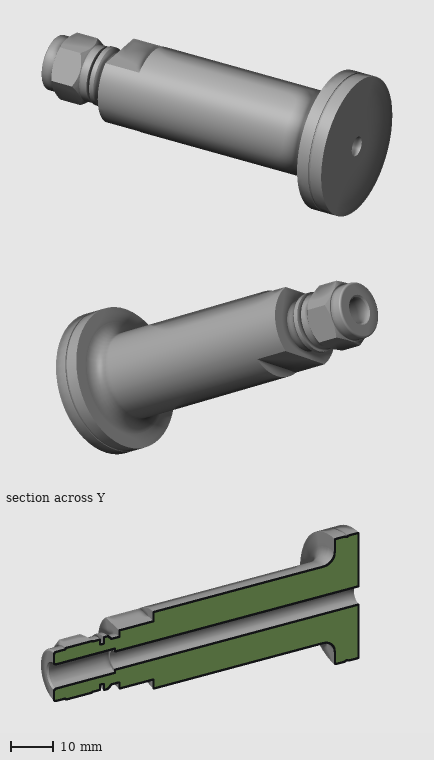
import cadquery as cq
import math

length = 82.4

collar_diameter = 13.6
collar_edge = 0.5
nut_start = 3.05
nut_end = 10.55
nut_across_flats = 14.3
nut_across_corners = nut_across_flats / math.cos(math.radians(30))
nut_front_angle = 30
nut_back_angle = 45

thread_diameter = 13.9
thread_end = 12.5
groove_diameter = 11.1
groove_end = 13.4
shoulder_diameter = 14.6
shoulder_rim_end = 14.6
neck_diameter = 12.6
shoulder_end = shoulder_rim_end + (shoulder_diameter - neck_diameter) / 2

body_start = 17.65
body_diameter = 21.1
wrench_flat_length = 9.2
wrench_flat_distance = 16.1

flange_diameter = 34.5
flange_start = 75.85
flange_end = length
flare_radius = 3.05
flare_top_diameter = body_diameter + 2 * flare_radius
seam_start = 78.9
seam_width = 0.5
seam_depth = 0.25

bore_diameter = 4.9
socket_diameter = 6.5
socket_depth = 16.5
socket_chamfer = 0.4


def cylinder(diameter, start, end):
    """Solid cylinder on the X axis."""
    return cq.Workplane("YZ", origin=(start, 0, 0)).circle(diameter / 2).extrude(end - start)


def revolve_profile(profile):
    """Turn a closed (X, radius) profile around the X axis."""
    return profile.close().revolve(360, (0, 0, 0), (1, 0, 0))


def make_nut():
    """Hexagon with conically trimmed corners and a round collar in front."""
    hexagon = (
        cq.Workplane("YZ", origin=(nut_start, 0, 0))
        .polygon(6, nut_across_corners)
        .extrude(nut_end - nut_start)
    )
    corner_radius = nut_across_corners / 2
    rim_radius = nut_across_flats / 2
    front_trim = (corner_radius - rim_radius) * math.tan(math.radians(nut_front_angle))
    back_rim_radius = thread_diameter / 2
    back_trim = (corner_radius - back_rim_radius) / math.tan(math.radians(nut_back_angle))
    envelope = revolve_profile(
        cq.Workplane("XY")
        .moveTo(nut_start, 0)
        .lineTo(nut_start, rim_radius)
        .lineTo(nut_start + front_trim, corner_radius)
        .lineTo(nut_end - back_trim, corner_radius)
        .lineTo(nut_end, back_rim_radius)
        .lineTo(nut_end, 0)
    )
    collar = cylinder(collar_diameter, 0, nut_start).faces("<X").edges().fillet(collar_edge)
    return hexagon.intersect(envelope).union(collar)


def make_neck():
    """Stepped neck with a groove and a shoulder that tapers towards the body."""
    return revolve_profile(
        cq.Workplane("XY")
        .moveTo(nut_end, 0)
        .lineTo(nut_end, thread_diameter / 2)
        .lineTo(thread_end, thread_diameter / 2)
        .lineTo(thread_end, groove_diameter / 2)
        .lineTo(groove_end, groove_diameter / 2)
        .lineTo(groove_end, shoulder_diameter / 2)
        .lineTo(shoulder_rim_end, shoulder_diameter / 2)
        .lineTo(shoulder_end, neck_diameter / 2)
        .lineTo(body_start, neck_diameter / 2)
        .lineTo(body_start, 0)
    )


def make_body():
    """Round barrel that flares into the flange."""
    return revolve_profile(
        cq.Workplane("XY")
        .moveTo(body_start, 0)
        .lineTo(body_start, body_diameter / 2)
        .lineTo(flange_start - flare_radius, body_diameter / 2)
        .tangentArcPoint((flange_start, flare_top_diameter / 2), relative=False)
        .lineTo(flange_start, flange_diameter / 2)
        .lineTo(flange_end, flange_diameter / 2)
        .lineTo(flange_end, 0)
    )


def make_wrench_flat(side):
    """Block that cuts one wrench flat; side is +1 for the top, -1 for the bottom."""
    height = (body_diameter - wrench_flat_distance) / 2
    center_z = side * (wrench_flat_distance + height) / 2
    return (
        cq.Workplane("XY", origin=(body_start + wrench_flat_length / 2, 0, center_z))
        .box(wrench_flat_length, body_diameter, height)
    )


def make_seam():
    """Ring that cuts the shallow groove around the flange."""
    seam_end = seam_start + seam_width
    core = cylinder(flange_diameter - 2 * seam_depth, seam_start, seam_end)
    return cylinder(flange_diameter, seam_start, seam_end).cut(core)


def make_bore():
    """Through bore with a wider, chamfered socket at the nut end."""
    socket = cylinder(socket_diameter, 0, socket_depth)
    mouth = revolve_profile(
        cq.Workplane("XY")
        .lineTo(0, socket_diameter / 2 + socket_chamfer)
        .lineTo(socket_chamfer, socket_diameter / 2)
        .lineTo(socket_chamfer, 0)
    )
    return cylinder(bore_diameter, 0, length).union(socket).union(mouth)


result = make_body().union(make_neck()).union(make_nut())
for side in (1, -1):
    result = result.cut(make_wrench_flat(side))
result = result.cut(make_seam()).cut(make_bore())